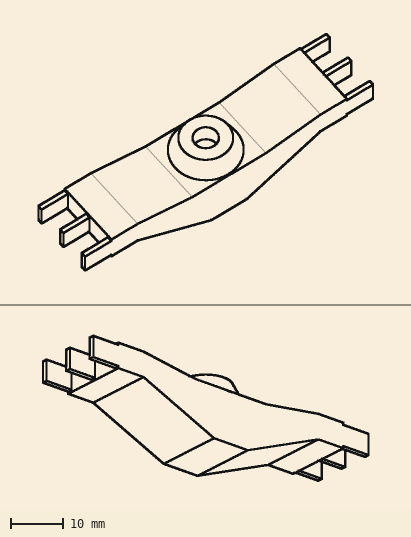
import cadquery as cq

WIDTH = 15.0
FIN_LENGTH = 68.5
TOTAL_HEIGHT = 14.96

BODY_LENGTH = 56.0
SHOULDER_Y = 21.75
SADDLE_HALF = 8.75
KEEL_HALF = 4.2
SADDLE_Z = 11.1
END_TOP_Z = 13.0
END_BOTTOM_Z = 7.6

FIN_COUNT = 3
FIN_THICKNESS = 1.1
FIN_STEP = 0.45
FIN_PITCH = (WIDTH - FIN_THICKNESS) / (FIN_COUNT - 1)

BOSS_BASE_DIAMETER = 14.5
BOSS_TOP_DIAMETER = 10.5
BOSS_HEIGHT = TOTAL_HEIGHT - SADDLE_Z
BORE_DIAMETER = 5.0
BORE_DEPTH = BOSS_HEIGHT


def make_body():
    """Prism with the saddle-shaped top and keel-shaped underside, symmetric about Y = 0."""
    half_length = BODY_LENGTH / 2
    one_side = [
        (KEEL_HALF, 0),
        (SHOULDER_Y, END_BOTTOM_Z),
        (half_length, END_BOTTOM_Z),
        (half_length, END_TOP_Z),
        (SHOULDER_Y, END_TOP_Z),
        (SADDLE_HALF, SADDLE_Z),
    ]
    other_side = [(-y, z) for y, z in reversed(one_side)]
    return cq.Workplane("YZ").polyline(one_side + other_side).close().extrude(WIDTH / 2, both=True)


def make_fin_ends(side):
    """The three fin ends on one end of the body; side is +1 or -1 along Y."""
    length = (FIN_LENGTH - BODY_LENGTH) / 2
    height = END_TOP_Z - END_BOTTOM_Z - 2 * FIN_STEP
    center_y = side * (BODY_LENGTH + length) / 2
    center_z = (END_TOP_Z + END_BOTTOM_Z) / 2
    return (
        cq.Workplane("XY", origin=(0, center_y, center_z))
        .rarray(FIN_PITCH, 1, FIN_COUNT, 1)
        .box(FIN_THICKNESS, length, height)
    )


def make_boss():
    """Cone frustum standing on the saddle."""
    return (
        cq.Workplane("XY", origin=(0, 0, SADDLE_Z))
        .circle(BOSS_BASE_DIAMETER / 2)
        .workplane(offset=BOSS_HEIGHT)
        .circle(BOSS_TOP_DIAMETER / 2)
        .loft(ruled=True)
    )


def make_bore():
    """Flat-bottomed bore sunk from the top of the boss."""
    return (
        cq.Workplane("XY", origin=(0, 0, TOTAL_HEIGHT))
        .circle(BORE_DIAMETER / 2)
        .extrude(-BORE_DEPTH)
    )


part = make_body()
for side in (-1, 1):
    part = part.union(make_fin_ends(side))
result = part.union(make_boss()).cut(make_bore())